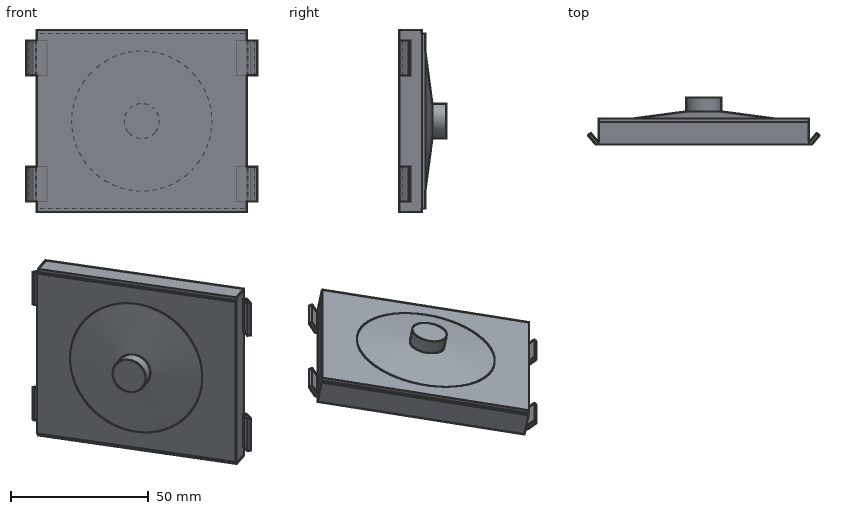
import cadquery as cq
import math

housing_width = 76.2
housing_height = 66.04
housing_depth = 8.255

clip_span = 83.82
clip_thickness = 1.27
clip_height = 12.7
clip_edge_gap = 3.81
clip_pad_width = 3.81
clip_bend_angle = 50.0
clip_arm_length = 3.81

back_plate_height = 63.5
back_plate_depth = 1.27
cone_base_diameter = 50.8
cone_depth = 2.54
stem_diameter = 12.7
stem_depth = 5.08

back_plate_front = housing_depth
cone_front = back_plate_front + back_plate_depth
stem_front = cone_front + cone_depth

clip_centre_z = housing_height / 2 - clip_edge_gap - clip_height / 2


def block(width, depth, height, front):
    """Box centred in X and Z with its front face at Y = front."""
    return cq.Workplane("XY").box(width, depth, height).translate((0, front + depth / 2, 0))


def clip_outline():
    """Bent strip on the +X side, drawn in the XY plane: flat pad, bend, then slanted arm."""
    angle = math.radians(clip_bend_angle)
    arm_run = clip_arm_length * math.cos(angle)
    arm_rise = clip_arm_length * math.sin(angle)
    pad_inner_x = housing_width / 2 - clip_pad_width
    bend_x = clip_span / 2 - arm_run - clip_thickness * math.sin(angle)

    def on_bend(turn):
        """Point on the outer arc, which is centred on the sharp inner corner."""
        return (bend_x + clip_thickness * math.sin(turn), clip_thickness * (1 - math.cos(turn)))

    inner_corner = (bend_x, clip_thickness)
    bend_end = on_bend(angle)
    return (
        cq.Workplane("XY")
        .moveTo(pad_inner_x, 0)
        .lineTo(bend_x, 0)
        .threePointArc(on_bend(angle / 2), bend_end)
        .line(arm_run, arm_rise)
        .lineTo(inner_corner[0] + arm_run, inner_corner[1] + arm_rise)
        .lineTo(*inner_corner)
        .lineTo(pad_inner_x, clip_thickness)
        .close()
    )


def clips():
    """The four clips: one on each side of the housing, near the top and the bottom."""
    right_clip = clip_outline().extrude(clip_height / 2, both=True)
    left_clip = right_clip.mirror("YZ")
    return [
        clip.translate((0, 0, z))
        for clip in (left_clip, right_clip)
        for z in (-clip_centre_z, clip_centre_z)
    ]


def make_housing():
    """Housing block with its clips joined on; the clip pads keep their outlines on the front face."""
    housing = block(housing_width, housing_depth, housing_height, front=0)
    for clip in clips():
        housing = housing.union(clip, clean=False)
    return housing.solids()


def make_back_plate():
    return block(housing_width, back_plate_depth, back_plate_height, back_plate_front)


def make_cone():
    cone = cq.Solid.makeCone(
        cone_base_diameter / 2,
        stem_diameter / 2,
        cone_depth,
        pnt=cq.Vector(0, cone_front, 0),
        dir=cq.Vector(0, 1, 0),
    )
    return cq.Workplane(cone)


def make_stem():
    stem = cq.Solid.makeCylinder(
        stem_diameter / 2,
        stem_depth,
        pnt=cq.Vector(0, stem_front, 0),
        dir=cq.Vector(0, 1, 0),
    )
    return cq.Workplane(stem)


housing = make_housing()
back_plate = make_back_plate()
cone = make_cone()
stem = make_stem()

result = cq.Compound.makeCompound([housing.val(), back_plate.val(), cone.val(), stem.val()])